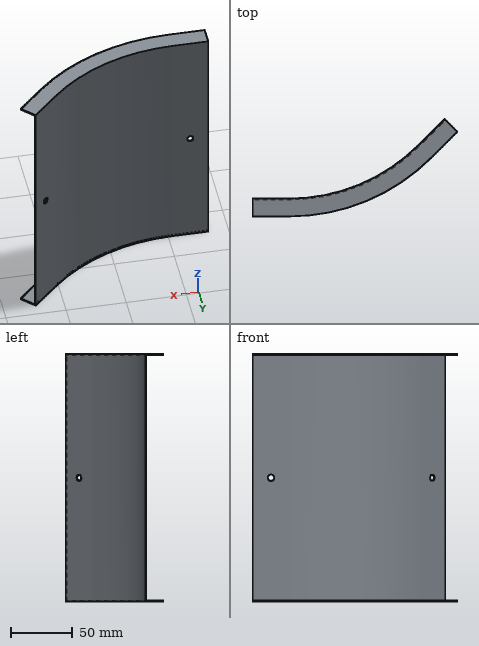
import cadquery as cq
import math

height = 202.0
sheet = 1.0
straight = 29.9
bend_angle = 45.0
inner_radius = 149.0
flange_depth = 14.7
hole_diameter = 5.0

ALONG_START = (1.0, 0.0)
ALONG_END = (math.cos(math.radians(bend_angle)), math.sin(math.radians(bend_angle)))


def bend_point(radius, angle):
    """Point on the bend, with the angle in degrees from the start of the arc."""
    turn = math.radians(angle)
    return (radius * math.sin(turn), -radius * math.cos(turn))


def shifted(point, direction, distance):
    return (point[0] + direction[0] * distance, point[1] + direction[1] * distance)


def curved_strip(depth, thickness):
    """Straight-arc-straight strip reaching outward from the concave face."""
    outer_radius = inner_radius + depth
    inner_start = bend_point(inner_radius, 0)
    inner_end = bend_point(inner_radius, bend_angle)
    outer_start = bend_point(outer_radius, 0)
    outer_end = bend_point(outer_radius, bend_angle)
    return (
        cq.Workplane("XY")
        .moveTo(*shifted(inner_start, ALONG_START, -straight))
        .lineTo(*inner_start)
        .threePointArc(bend_point(inner_radius, bend_angle / 2), inner_end)
        .lineTo(*shifted(inner_end, ALONG_END, straight))
        .lineTo(*shifted(outer_end, ALONG_END, straight))
        .lineTo(*outer_end)
        .threePointArc(bend_point(outer_radius, bend_angle / 2), outer_start)
        .lineTo(*shifted(outer_start, ALONG_START, -straight))
        .close()
        .extrude(thickness)
    )


def wall_hole(angle, along, distance):
    """Cutter through the wall, square to the flat stretch it sits on."""
    x, y = shifted(bend_point(inner_radius - sheet, angle), along, distance)
    outward = bend_point(1.0, angle)
    return cq.Workplane(
        cq.Solid.makeCylinder(
            hole_diameter / 2,
            3 * sheet,
            cq.Vector(x, y, height / 2),
            cq.Vector(outward[0], outward[1], 0),
        )
    )


wall = curved_strip(sheet, height)
flange = curved_strip(flange_depth, sheet)
channel = wall.union(flange).union(flange.translate((0, 0, height - sheet)))

start_hole = wall_hole(0, ALONG_START, -straight / 2)
end_hole = wall_hole(bend_angle, ALONG_END, straight / 2)
result = channel.cut(start_hole).cut(end_hole)